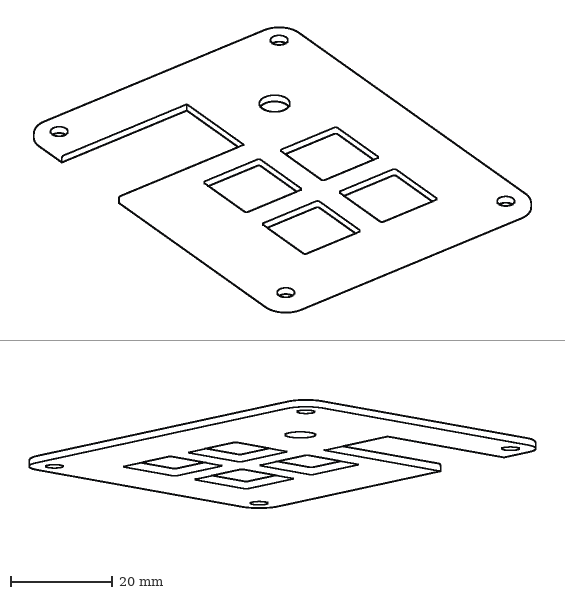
import cadquery as cq

length = 83.7
width = 64.7
thickness = 1.5
corner_radius = 5.0
top_edge_radius = 0.5

screw_hole_diameter = 3.4
screw_spacing_x = length - 2 * corner_radius
screw_spacing_y = width - 2 * corner_radius

round_hole_diameter = 6.0
round_hole_x = -19.1
round_hole_y = 12.6

window_size = 14.0
window_pitch = 19.1
window_corner_radius = 0.5
window_grid_x = 11.55
window_grid_y = 0.6

notch_width = 18.5
notch_depth = 31.05
notch_left_offset = 12.5


def plate():
    """Rounded plate with its upper rim rounded, standing on Z = 0."""
    body = cq.Workplane("XY").box(length, width, thickness, centered=(True, True, False))
    return body.edges("|Z").fillet(corner_radius).faces(">Z").fillet(top_edge_radius)


def screw_holes():
    return (
        cq.Workplane("XY")
        .rect(screw_spacing_x, screw_spacing_y, forConstruction=True)
        .vertices()
        .circle(screw_hole_diameter / 2)
        .extrude(thickness)
    )


def round_hole():
    center = (round_hole_x, round_hole_y)
    return cq.Workplane("XY").center(*center).circle(round_hole_diameter / 2).extrude(thickness)


def windows():
    return (
        cq.Workplane("XY")
        .center(window_grid_x, window_grid_y)
        .rarray(window_pitch, window_pitch, 2, 2)
        .rect(window_size, window_size)
        .extrude(thickness)
        .edges("|Z")
        .fillet(window_corner_radius)
    )


def notch():
    left = -length / 2 + notch_left_offset
    front = -width / 2
    return (
        cq.Workplane("XY")
        .moveTo(left, front)
        .rect(notch_width, notch_depth, centered=False)
        .extrude(thickness)
    )


result = plate().cut(screw_holes()).cut(round_hole()).cut(windows()).cut(notch())